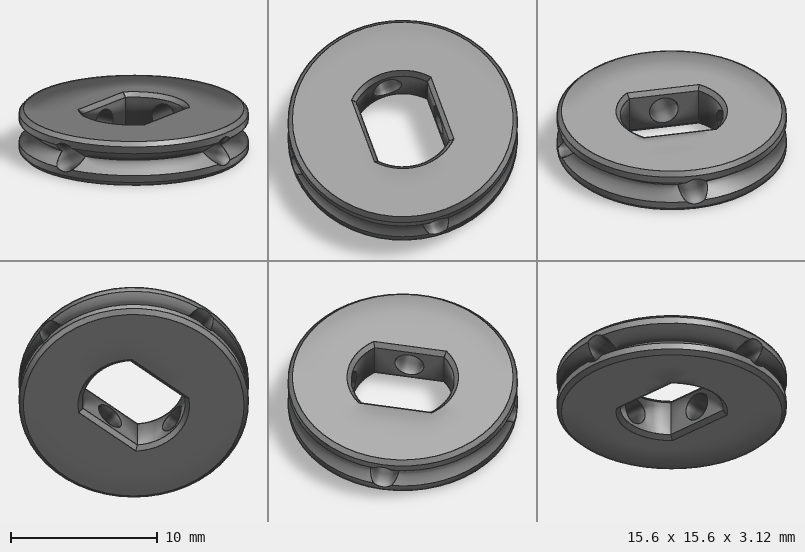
import cadquery as cq

disc_diameter = 15.62
disc_thickness = 3.12

groove_width = 1.56
groove_depth = 1.03

bore_diameter = 7.0
bore_flat_width = 5.09

face_chamfer = 0.3

cross_hole_diameter = 2.0


def cylinder(diameter, length, plane="XY"):
    """Cylinder centred on the origin, along the normal of the given plane."""
    start = cq.Workplane(plane).workplane(offset=-length / 2)
    return start.circle(diameter / 2).extrude(length)


def double_d_bore():
    """Full-height plug with two round sides and two flat sides."""
    flats = cq.Workplane("XY").box(bore_flat_width, bore_diameter, disc_thickness)
    return cylinder(bore_diameter, disc_thickness).intersect(flats)


def rim_groove():
    """Ring with a triangular section whose point is the bottom of the groove."""
    disc_radius = disc_diameter / 2
    section = (
        cq.Workplane("XZ")
        .moveTo(disc_radius, -groove_width / 2)
        .lineTo(disc_radius - groove_depth, 0)
        .lineTo(disc_radius, groove_width / 2)
        .close()
    )
    return section.revolve(360, (0, 0, 0), (0, 1, 0))


result = cylinder(disc_diameter, disc_thickness).cut(double_d_bore())
result = result.faces("<Z or >Z").chamfer(face_chamfer)
result = result.cut(rim_groove())

for hole_plane in ("ZX", "ZY"):
    result = result.cut(cylinder(cross_hole_diameter, disc_diameter, hole_plane))